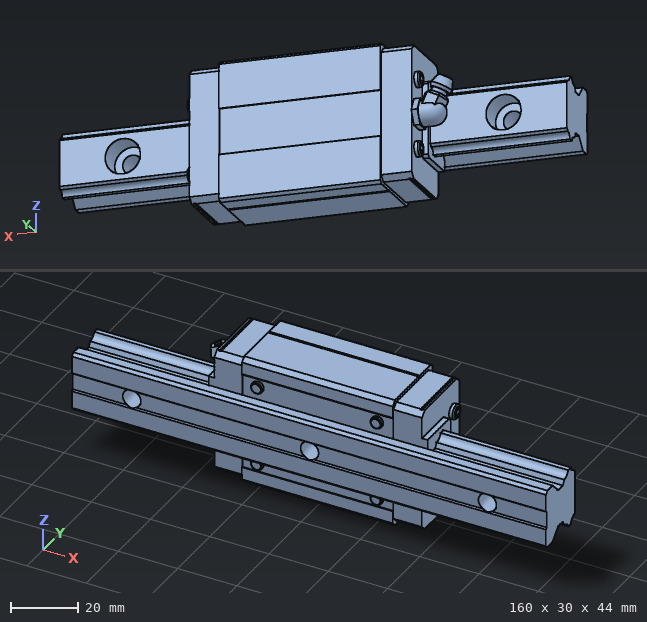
import cadquery as cq
import math


RAIL_LENGTH = 160.0
RAIL_HEIGHT = 18.2
RAIL_HALF_WIDTH = 20.0 / 2
RAIL_BASE_CHAMFER = 1.0
FOOT_HEIGHT = 4.2
NECK_HALF_WIDTH = 6.4
NECK_BOTTOM = 7.7
NECK_TOP = 10.5
RACEWAY_BOTTOM = 11.4
RACEWAY_HALF_WIDTH = 8.0
CREST_BOTTOM = 14.0
CREST_TOP = 15.7
CREST_HALF_WIDTH = 10.0
RACEWAY_TOP = 17.5
HEAD_HALF_WIDTH = 7.2
RACEWAY_SAG = 0.5
BASE_GROOVE_DEPTH = 0.5
BASE_GROOVE_HALF_WIDTH = 3.2
BASE_GROOVE_FLOOR_HALF_WIDTH = 2.7
MOUNT_PITCH = 60.0
MOUNT_HOLE_DIAMETER = 6.0
MOUNT_BORE_DIAMETER = 11.0
MOUNT_BORE_DEPTH = 8.5

TOP = 30.0
BLOCK_HALF_LENGTH = 25.5
BLOCK_HALF_WIDTH = 44.0 / 2
BLOCK_BOTTOM = 5.3
BLOCK_TOP_CHAMFER = 1.0
BLOCK_BOTTOM_CHAMFER = 1.5
SHELF_BOTTOM = 5.6
SHELF_HALF_WIDTH = 16.3
TOP_RECESS_DEPTH = 0.5
TOP_RECESS_HALF_WIDTH = 7.2
LINE_GROOVE_WIDTH = 0.5
LINE_GROOVE_DEPTH = 0.2
SIDE_GROOVE_HEIGHT = 22.0
PLUG_X = 20.2
PLUG_Z = 13.5
PLUG_RADIUS = 2.0
PLUG_TIP = 4.3
PLUG_CHAMFER = 0.3

CAP_OUTER_X = 35.0
CAP_HALF_WIDTH = 21.0
CAP_BOTTOM = 5.8
CAP_TOP = 29.3
CAP_CHAMFER = 1.8
CAP_GROOVE_X = 34.0
SEAL_OUTER_X = 37.0
SEAL_HALF_WIDTH = 12.0
SEAL_TOP = 20.2
SEAL_CHAMFER = 1.0
SCREW_HEIGHT = 25.0
SCREW_Z = 10.9
SCREW_HEAD_RADIUS = 2.4
SCREW_HEAD_LENGTH = 1.6
SCREW_HEAD_CHAMFER = 0.5
SOCKET_DIAMETER = 2.7
SOCKET_DEPTH = 0.8

NIPPLE_HEIGHT = SCREW_HEIGHT
FLANGE_THICKNESS = 2.0
FLANGE_CORNER_DIAMETER = 9.6
STEM_RADIUS = 4.0
BALL_X = -40.3
TILT_X = -39.2
OUTLET_TILT = 25.0
HEX_TOP = 6.2
HEX_CORNER_DIAMETER = 8.0
HEX_CHAMFER = 1.0
TIP_NECK_RADIUS = 2.4
TIP_BOTTOM = 7.5
TIP_WIDEST = 8.6
TIP_END = 11.7
TIP_BOTTOM_RADIUS = 3.0
TIP_WIDEST_RADIUS = 3.5
TIP_END_RADIUS = 2.4
TIP_MOUTH_RADIUS = 1.1
TIP_MOUTH_DEPTH = 0.6


def box(x_range, y_range, z_range):
    """Axis-aligned block given by its limits."""
    limits = (x_range, y_range, z_range)
    sizes = [high - low for low, high in limits]
    corner = cq.Vector(*[low for low, high in limits])
    return cq.Workplane("XY").box(*sizes, centered=False).translate(corner)


def along_x(profile, start, end):
    """Extrude a (Z, Y) profile, built on a plane facing -X, from X = start to X = end."""
    return profile.extrude(start - end).translate((start, 0, 0))


def profile_plane():
    """Cross-section plane whose first axis is Z and whose second axis is Y."""
    return cq.Workplane(cq.Plane(origin=(0, 0, 0), xDir=(0, 0, 1), normal=(-1, 0, 0)))


def raceway_middle(start, end):
    """Point on a raceway arc, sunk towards the rail centre from the middle of its chord."""
    chord_z = end[0] - start[0]
    chord_y = end[1] - start[1]
    length = math.hypot(chord_z, chord_y)
    middle_z = (start[0] + end[0]) / 2 - RACEWAY_SAG * abs(chord_y) / length
    middle_y = (start[1] + end[1]) / 2 + RACEWAY_SAG * chord_z / length
    return (middle_z, middle_y)


def rail_blank(length):
    """Rail section without the base groove and mounting holes."""
    lower_start = (RACEWAY_HALF_WIDTH, RACEWAY_BOTTOM)
    lower_end = (CREST_HALF_WIDTH, CREST_BOTTOM)
    upper_start = (CREST_HALF_WIDTH, CREST_TOP)
    upper_end = (RACEWAY_HALF_WIDTH, RACEWAY_TOP)
    half = (
        profile_plane()
        .moveTo(0, 0)
        .lineTo(RAIL_HALF_WIDTH - RAIL_BASE_CHAMFER, 0)
        .lineTo(RAIL_HALF_WIDTH, RAIL_BASE_CHAMFER)
        .lineTo(RAIL_HALF_WIDTH, FOOT_HEIGHT)
        .lineTo(NECK_HALF_WIDTH, NECK_BOTTOM)
        .lineTo(NECK_HALF_WIDTH, NECK_TOP)
        .lineTo(*lower_start)
        .threePointArc(raceway_middle(lower_start, lower_end), lower_end)
        .lineTo(*upper_start)
        .threePointArc(raceway_middle(upper_start, upper_end), upper_end)
        .lineTo(HEAD_HALF_WIDTH, RAIL_HEIGHT)
        .lineTo(0, RAIL_HEIGHT)
        .mirrorY()
    )
    return along_x(half, -length / 2, length / 2)


def make_rail():
    rail = rail_blank(RAIL_LENGTH)
    groove = profile_plane().polyline([
        (-BASE_GROOVE_HALF_WIDTH, 0),
        (BASE_GROOVE_HALF_WIDTH, 0),
        (BASE_GROOVE_FLOOR_HALF_WIDTH, BASE_GROOVE_DEPTH),
        (-BASE_GROOVE_FLOOR_HALF_WIDTH, BASE_GROOVE_DEPTH),
    ]).close()
    rail = rail.cut(along_x(groove, -RAIL_LENGTH / 2, RAIL_LENGTH / 2))
    hole_centres = [(i * MOUNT_PITCH, 0) for i in (-1, 0, 1)]
    holes = cq.Workplane("XZ").pushPoints(hole_centres).circle(MOUNT_HOLE_DIAMETER / 2).extrude(-RAIL_HEIGHT)
    bores = (
        cq.Workplane("XZ", origin=(0, RAIL_HEIGHT, 0))
        .pushPoints(hole_centres)
        .circle(MOUNT_BORE_DIAMETER / 2)
        .extrude(MOUNT_BORE_DEPTH)
    )
    return rail.cut(holes).cut(bores)


def steel_block():
    """Middle of the carriage with its chamfers, recesses and line grooves."""
    span = (-BLOCK_HALF_LENGTH, BLOCK_HALF_LENGTH)
    block = box(span, (BLOCK_BOTTOM, TOP), (-BLOCK_HALF_WIDTH, BLOCK_HALF_WIDTH))
    block = block.edges("|X and >Y").chamfer(BLOCK_TOP_CHAMFER)
    block = block.edges("|X and <Y").chamfer(BLOCK_BOTTOM_CHAMFER)
    block = block.cut(box(span, (BLOCK_BOTTOM, SHELF_BOTTOM), (-SHELF_HALF_WIDTH, SHELF_HALF_WIDTH)))
    block = block.cut(box(span, (TOP - TOP_RECESS_DEPTH, TOP), (-TOP_RECESS_HALF_WIDTH, TOP_RECESS_HALF_WIDTH)))
    groove_y = (SIDE_GROOVE_HEIGHT - LINE_GROOVE_WIDTH / 2, SIDE_GROOVE_HEIGHT + LINE_GROOVE_WIDTH / 2)
    groove = box(span, groove_y, (BLOCK_HALF_WIDTH - LINE_GROOVE_DEPTH, BLOCK_HALF_WIDTH))
    return block.cut(groove).cut(groove.mirror("XY"))


def underside_plugs():
    """Four chamfered plugs standing out of the underside of the steel block."""
    return (
        cq.Workplane("XZ", origin=(0, SHELF_BOTTOM, 0))
        .rect(2 * PLUG_X, 2 * PLUG_Z, forConstruction=True)
        .vertices()
        .circle(PLUG_RADIUS)
        .extrude(SHELF_BOTTOM - PLUG_TIP)
        .faces("<Y")
        .chamfer(PLUG_CHAMFER)
    )


def end_assembly():
    """End cap at the +X end with its raised seal and two socket screw heads."""
    cap = box((BLOCK_HALF_LENGTH, CAP_OUTER_X), (CAP_BOTTOM, CAP_TOP), (-CAP_HALF_WIDTH, CAP_HALF_WIDTH))
    cap = cap.edges("|X").chamfer(CAP_CHAMFER)
    groove_x = (CAP_GROOVE_X - LINE_GROOVE_WIDTH / 2, CAP_GROOVE_X + LINE_GROOVE_WIDTH / 2)
    groove = box(groove_x, (CAP_BOTTOM, CAP_TOP), (CAP_HALF_WIDTH - LINE_GROOVE_DEPTH, CAP_HALF_WIDTH))
    cap = cap.cut(groove).cut(groove.mirror("XY"))

    seal = box((CAP_OUTER_X, SEAL_OUTER_X), (CAP_BOTTOM, SEAL_TOP), (-SEAL_HALF_WIDTH, SEAL_HALF_WIDTH))
    seal = seal.edges("|X and >Y").chamfer(SEAL_CHAMFER)

    heads = (
        cq.Workplane("YZ", origin=(CAP_OUTER_X, SCREW_HEIGHT, 0))
        .pushPoints([(0, -SCREW_Z), (0, SCREW_Z)])
        .circle(SCREW_HEAD_RADIUS)
        .extrude(SCREW_HEAD_LENGTH)
        .faces(">X")
        .chamfer(SCREW_HEAD_CHAMFER)
    )
    sockets = (
        cq.Workplane("YZ", origin=(CAP_OUTER_X + SCREW_HEAD_LENGTH, SCREW_HEIGHT, 0))
        .pushPoints([(0, -SCREW_Z), (0, SCREW_Z)])
        .polygon(6, SOCKET_DIAMETER)
        .extrude(-SOCKET_DEPTH)
    )
    return cap.union(seal).union(heads.cut(sockets))


def make_carriage():
    end = end_assembly()
    carriage = steel_block().union(end).union(end.mirror("YZ"))
    carriage = carriage.union(underside_plugs())
    return carriage.cut(rail_blank(2 * SEAL_OUTER_X))


def make_nipple():
    flange = (
        cq.Workplane("YZ", origin=(-CAP_OUTER_X, NIPPLE_HEIGHT, 0))
        .polygon(6, FLANGE_CORNER_DIAMETER)
        .extrude(-FLANGE_THICKNESS)
    )
    ball_slant = STEM_RADIUS * math.sqrt(0.5)
    stem = (
        cq.Workplane("XY", origin=(0, NIPPLE_HEIGHT, 0))
        .moveTo(-CAP_OUTER_X, 0)
        .lineTo(-CAP_OUTER_X, STEM_RADIUS)
        .lineTo(BALL_X, STEM_RADIUS)
        .threePointArc((BALL_X - ball_slant, ball_slant), (BALL_X - STEM_RADIUS, 0))
        .close()
        .revolve(360, (0, 0, 0), (1, 0, 0))
    )
    hexagon = (
        cq.Workplane("XY")
        .polygon(6, HEX_CORNER_DIAMETER)
        .extrude(HEX_TOP)
        .faces(">Z")
        .chamfer(HEX_CHAMFER)
    )
    tip = (
        cq.Workplane("XZ")
        .polyline([
            (0, HEX_TOP),
            (TIP_NECK_RADIUS, HEX_TOP),
            (TIP_NECK_RADIUS, TIP_BOTTOM),
            (TIP_BOTTOM_RADIUS, TIP_BOTTOM),
            (TIP_WIDEST_RADIUS, TIP_WIDEST),
            (TIP_END_RADIUS, TIP_END),
            (TIP_MOUTH_RADIUS, TIP_END),
            (TIP_MOUTH_RADIUS, TIP_END - TIP_MOUTH_DEPTH),
            (0, TIP_END - TIP_MOUTH_DEPTH),
        ])
        .close()
        .revolve(360, (0, 0, 0), (0, 1, 0))
    )
    outlet = (
        hexagon.union(tip)
        .rotate((0, 0, 0), (0, 1, 0), -OUTLET_TILT)
        .translate((TILT_X, NIPPLE_HEIGHT, 0))
    )
    return flange.union(stem).union(outlet)


rail = make_rail()
carriage = make_carriage()
nipple = make_nipple()

result = cq.Compound.makeCompound([rail.solids().val(), carriage.solids().val(), nipple.solids().val()])